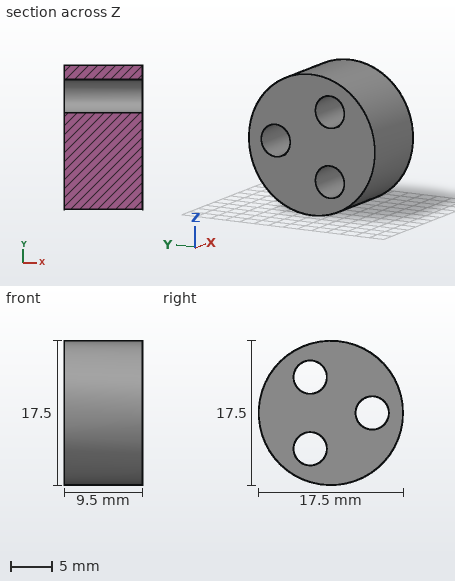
import cadquery as cq

disc_diameter = 17.5
disc_thickness = 9.5
hole_diameter = 4.0
hole_circle_radius = 5.0
hole_count = 3

disc = cq.Workplane("YZ").circle(disc_diameter / 2).extrude(disc_thickness)

holes = (
    cq.Workplane("YZ")
    .polarArray(hole_circle_radius, 0, 360, hole_count)
    .circle(hole_diameter / 2)
    .extrude(disc_thickness)
)

result = disc.cut(holes)